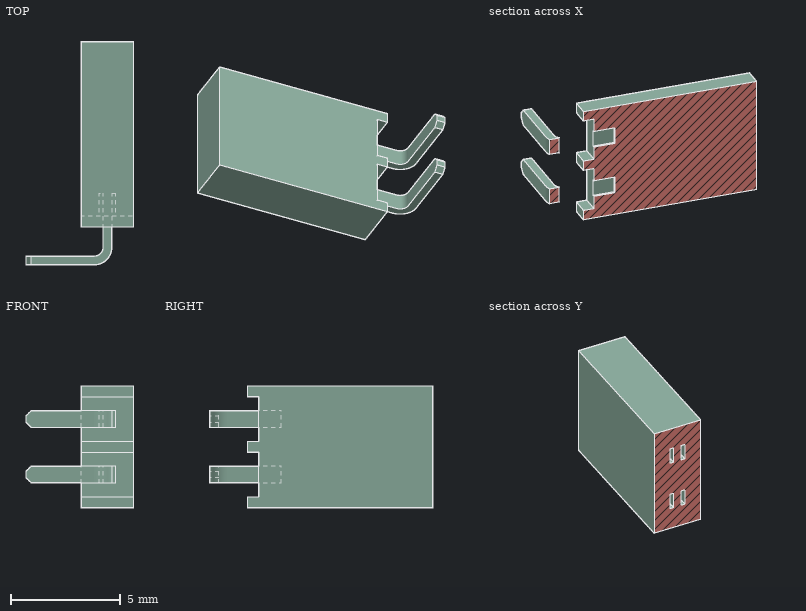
import cadquery as cq

total_width = 4.95
total_length = 10.24

body_width = 2.41
body_length = 8.51
body_height = 5.59
wall = 0.5
bay_depth = 0.51

pin_pitch = 2.54
pin_thickness = 0.41
pin_height = 0.78
bend_inner_radius = 0.4
tip_chamfer = 0.25

pocket_width = 0.76
pocket_depth = 1.02

bay_height = (body_height - 3 * wall) / 2
bay_offset = (bay_height + wall) / 2
pocket_floor = bay_depth + pocket_depth
tip_x = body_width / 2 - total_width
pin_front = body_length - total_length
pin_side = pin_thickness / 2
bend_outer_radius = bend_inner_radius + pin_thickness


def box_along_y(width, height, start, depth, center_z):
    """Box centred on X that runs back along Y from start."""
    return (
        cq.Workplane("XY")
        .box(width, depth, height, centered=(True, False, True))
        .translate((0, start, center_z))
    )


def make_housing():
    housing = box_along_y(body_width, body_height, 0, body_length, 0)
    for side in (-1, 1):
        bay = box_along_y(body_width, bay_height, 0, bay_depth, side * bay_offset)
        pocket = box_along_y(
            pocket_width, pin_height, bay_depth, pocket_depth, side * pin_pitch / 2
        )
        housing = housing.cut(bay).cut(pocket)
    return housing


def make_pin(center_z):
    """L-shaped flat pin, bent towards -X, with a chamfered tip."""
    pin = (
        cq.Workplane("XY")
        .moveTo(tip_x, pin_front)
        .lineTo(pin_side - bend_outer_radius, pin_front)
        .radiusArc((pin_side, pin_front + bend_outer_radius), -bend_outer_radius)
        .lineTo(pin_side, pocket_floor)
        .lineTo(-pin_side, pocket_floor)
        .lineTo(-pin_side, pin_front + bend_outer_radius)
        .radiusArc((-pin_side - bend_inner_radius, pin_front + pin_thickness), bend_inner_radius)
        .lineTo(tip_x, pin_front + pin_thickness)
        .close()
        .extrude(pin_height / 2, both=True)
    )
    pin = pin.faces("<X").edges("|Y").chamfer(tip_chamfer)
    return pin.translate((0, 0, center_z))


result = make_housing()
for side in (-1, 1):
    result = result.union(make_pin(side * pin_pitch / 2))